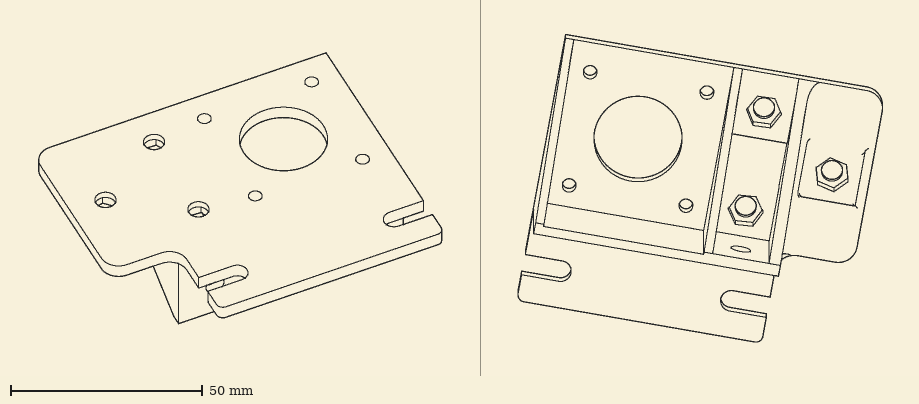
import cadquery as cq
import math

plate_width = 72.0
plate_length = 85.0
plate_thickness = 4.0
step_x = 47.1
step_y = 20.0
large_corner_radius = 5.0
small_corner_radius = 1.9

motor_x = 23.5
motor_y = plate_length - motor_x
motor_pocket_side = 42.5
motor_bore = 23.0
motor_screw_spacing = 31.0
motor_screw_hole = 3.6

slot_width = 5.5
slot_x = 62.1
slot_center_depth = 9.9

bolt_hole = 5.5
boss_side = 15.0
boss_blend_radius = 0.85
boss_height = 2.0
nut_across_flats = 8.0
nut_pocket_roof = plate_thickness / 2
rear_boss_y = 30.5
rear_boss_offset = 13.5
front_boss_y = 10.0
nut_positions = [
    (motor_x - rear_boss_offset, rear_boss_y, 28.0),
    (motor_x + rear_boss_offset, rear_boss_y, 26.0),
    (motor_x, front_boss_y, 44.0),
]

bracket_height = 25.0
wall_thickness = 3.0
wall_inner_x = step_x - wall_thickness
bay_width = boss_side
bay_front_y = rear_boss_y - bay_width / 2
bracket_front_y = step_y
bracket_fillet = 3.0
wall_hole = 5.2
wall_hole_depth = 15.05


def box_between(x0, x1, y0, y1, z0, z1):
    return cq.Workplane("XY").box(x1 - x0, y1 - y0, z1 - z0, centered=False).translate((x0, y0, z0))


def make_plate():
    outline = (
        cq.Workplane("XY")
        .polyline([
            (0, 0), (step_x, 0), (step_x, step_y), (plate_width, step_y),
            (plate_width, plate_length), (0, plate_length),
        ])
        .close()
        .extrude(plate_thickness)
    )
    inner_corner = cq.NearestToPointSelector((step_x, step_y, plate_thickness / 2))
    rounded = outline.edges("|Z").edges(inner_corner).fillet(large_corner_radius)
    rounded = rounded.edges("|Z").edges("<Y").fillet(large_corner_radius)
    return rounded.edges("|Z").edges(">X").fillet(small_corner_radius)


def concave_fillet(plane, length):
    """Bar that fills the corner between the plate and a wall face, on the plane's local -X side."""
    arc_middle = -bracket_fillet * (1 - math.sqrt(0.5))
    return (
        cq.Workplane(plane)
        .lineTo(-bracket_fillet, 0)
        .threePointArc((arc_middle, arc_middle), (0, -bracket_fillet))
        .close()
        .extrude(length)
    )


def make_bay():
    """Space between the front and middle ribs."""
    return box_between(0, wall_inner_x, bay_front_y, bay_front_y + bay_width, -bracket_height, 0)


def make_bracket():
    body = box_between(0, step_x, bracket_front_y, plate_length, -bracket_height, 0)
    half_pocket = motor_pocket_side / 2
    motor_pocket = box_between(
        0, motor_x + half_pocket, motor_y - half_pocket, motor_y + half_pocket, -bracket_height, 0
    )
    front_plane = cq.Plane(origin=(0, bracket_front_y, 0), xDir=(0, 1, 0), normal=(1, 0, 0))
    bay_plane = cq.Plane(
        origin=(wall_inner_x, bay_front_y + bay_width, 0), xDir=(1, 0, 0), normal=(0, -1, 0)
    )
    body = body.cut(motor_pocket).cut(make_bay())
    body = body.union(concave_fillet(front_plane, step_x)).union(concave_fillet(bay_plane, bay_width))
    side_profile = (
        cq.Workplane("XZ")
        .polyline([(0, 0), (step_x, 0), (step_x, -bracket_height), (wall_inner_x, -bracket_height)])
        .close()
        .extrude(-plate_length)
    )
    screw_hole = (
        cq.Workplane("YZ").center(rear_boss_y, -wall_hole_depth).circle(wall_hole / 2).extrude(plate_width)
    )
    return body.intersect(side_profile).cut(screw_hole)


def make_boss(x, y, length):
    """Boss that flares into the plate, with a rounded lower rim and rounded rear corners."""
    margin = 2 * boss_blend_radius
    zone_half_height = boss_blend_radius / 10
    base = cq.Workplane("XY").box(
        boss_side + 2 * margin, length + 2 * margin, plate_thickness, centered=(True, True, False)
    )
    block = (
        cq.Workplane("XY")
        .rect(boss_side, length)
        .extrude(-boss_height)
        .edges("|Z and >Y")
        .fillet(boss_blend_radius)
        .faces("<Z")
        .edges()
        .fillet(boss_blend_radius)
    )
    reach_x = boss_side / 2 + boss_blend_radius
    reach_y = length / 2 + boss_blend_radius
    foot_zone = cq.selectors.BoxSelector(
        (-reach_x, -reach_y, -zone_half_height), (reach_x, reach_y, zone_half_height), boundingbox=True
    )
    boss = base.union(block).edges(foot_zone).fillet(boss_blend_radius)
    return boss.translate((x, y, 0))


def make_nut_and_bolt_cutter(x, y, corner_angle):
    depth = nut_pocket_roof + boss_height
    corner_diameter = nut_across_flats / math.cos(math.pi / 6)
    nut = (
        cq.Workplane("XY")
        .polygon(6, corner_diameter)
        .extrude(depth)
        .rotate((0, 0, 0), (0, 0, 1), corner_angle)
        .translate((0, 0, -boss_height))
    )
    bolt = cq.Workplane("XY").circle(bolt_hole / 2).extrude(plate_thickness)
    return nut.union(bolt).translate((x, y, 0))


def make_slot(open_y, inward):
    """Slot from the edge at open_y; inward is +1 or -1 along Y."""
    center_y = open_y + inward * slot_center_depth
    straight = box_between(
        slot_x - slot_width / 2, slot_x + slot_width / 2,
        min(open_y, center_y), max(open_y, center_y), 0, plate_thickness,
    )
    round_end = cq.Workplane("XY").center(slot_x, center_y).circle(slot_width / 2).extrude(plate_thickness)
    return straight.union(round_end)


def make_motor_holes():
    bore = cq.Workplane("XY").center(motor_x, motor_y).circle(motor_bore / 2).extrude(plate_thickness)
    screws = (
        cq.Workplane("XY")
        .center(motor_x, motor_y)
        .rect(motor_screw_spacing, motor_screw_spacing, forConstruction=True)
        .vertices()
        .circle(motor_screw_hole / 2)
        .extrude(plate_thickness)
    )
    return bore.union(screws)


result = make_plate().union(make_bracket())
result = result.union(make_boss(motor_x, front_boss_y, boss_side))
untrimmed_length = bay_width + 4 * boss_blend_radius
for side in (-1, 1):
    rear_boss = make_boss(motor_x + side * rear_boss_offset, rear_boss_y, untrimmed_length)
    result = result.union(rear_boss.intersect(make_bay()))
for hole_x, hole_y, nut_angle in nut_positions:
    result = result.cut(make_nut_and_bolt_cutter(hole_x, hole_y, nut_angle))
result = result.cut(make_motor_holes())
result = result.cut(make_slot(plate_length, -1)).cut(make_slot(step_y, 1))